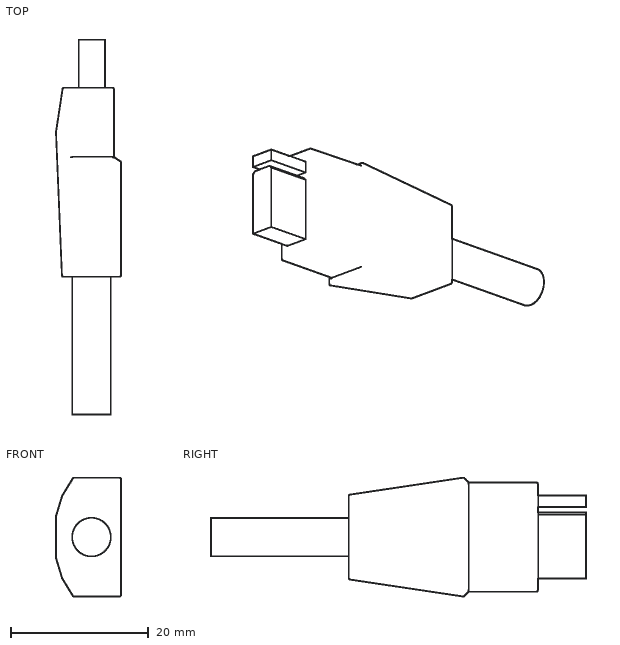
import cadquery as cq

total_length = 54.5
cable_length = 20.0
cable_diameter = 5.6
tongue_length = 7.0
housing_length = total_length - cable_length - tongue_length

rear_side_x = 4.3
nose_side_x = 3.25
peak_x = -5.2
peak_y = 21.05
nose_edge_x = -4.2

rear_half_height = 6.15
shoulder_half_height = 8.65
nose_half_height = 7.95
shoulder_y = 16.75
nose_start_y = 17.45

peak_half_height = 3.05
flank_rear_z = 5.95
flank_shoulder_x = -2.65
edge_radius = 0.25

tongue_left_x = -1.85
tongue_width = 3.8
tongue_half_height = 6.05
slot_bottom_z = 3.6
slot_top_z = 4.35
tongue_chamfer = 0.4

TOLERANCE = 0.005
CUTTER_SIZE = 3 * housing_length


def make_blank():
    """Housing before its flanks are cut: the common part of two extruded outlines."""
    plan = (
        cq.Workplane("XY")
        .polyline([
            (-rear_side_x, 0),
            (rear_side_x, 0),
            (rear_side_x, shoulder_y),
            (nose_side_x, nose_start_y),
            (nose_side_x, housing_length),
            (nose_edge_x, housing_length),
            (peak_x, peak_y),
        ])
        .close()
        .extrude(2 * shoulder_half_height, both=True)
    )
    upper_edge = [
        (0, rear_half_height),
        (shoulder_y, shoulder_half_height),
        (nose_start_y, nose_half_height),
        (housing_length, nose_half_height),
    ]
    lower_edge = [(y, -z) for y, z in reversed(upper_edge)]
    elevation = (
        cq.Workplane("YZ")
        .polyline(upper_edge + lower_edge)
        .close()
        .extrude(2 * rear_side_x, both=True)
    )
    return plan.intersect(elevation)


def make_flank_cutter():
    """Block lying outside the upper slanted flank."""
    peak = cq.Vector(peak_x, peak_y, peak_half_height)
    rear_corner = cq.Vector(-rear_side_x, 0, flank_rear_z)
    shoulder = cq.Vector(flank_shoulder_x, shoulder_y, shoulder_half_height)
    along = rear_corner - peak
    outward = along.cross(shoulder - peak)
    flank = cq.Plane(origin=peak, xDir=along, normal=outward)
    return cq.Workplane(flank).rect(CUTTER_SIZE, CUTTER_SIZE).extrude(CUTTER_SIZE)


def make_tongue():
    """Rectangular tongue split by a slot, with bevelled sides below the slot."""
    center_x = tongue_left_x + tongue_width / 2

    def bar(bottom_z, top_z):
        height = top_z - bottom_z
        return (
            cq.Workplane("XY")
            .box(tongue_width, tongue_length, height, centered=(True, False, False))
            .translate((center_x, housing_length, bottom_z))
        )

    lower_bar = bar(-tongue_half_height, slot_bottom_z).edges("|Y and >Z").chamfer(tongue_chamfer)
    upper_bar = bar(slot_top_z, tongue_half_height)
    return lower_bar, upper_bar


def rounded_edges(body):
    """All edges except the concave shoulder feet and the blunt ridge at the -X peak."""
    unrounded_y = (nose_start_y, peak_y)

    def is_rounded(edge):
        return all(abs(edge.Center().y - y) > TOLERANCE for y in unrounded_y)

    return [edge for edge in body.edges().vals() if is_rounded(edge)]


def make_housing():
    cutter = make_flank_cutter()
    body = make_blank().cut(cutter).cut(cutter.mirror("XY"))
    body = body.newObject(rounded_edges(body)).fillet(edge_radius)
    for bar in make_tongue():
        body = body.union(bar)
    return body


def make_cable():
    return cq.Workplane("XZ").circle(cable_diameter / 2).extrude(cable_length)


housing = make_housing()
cable = make_cable()

result = cq.Compound.makeCompound([housing.val(), cable.val()])